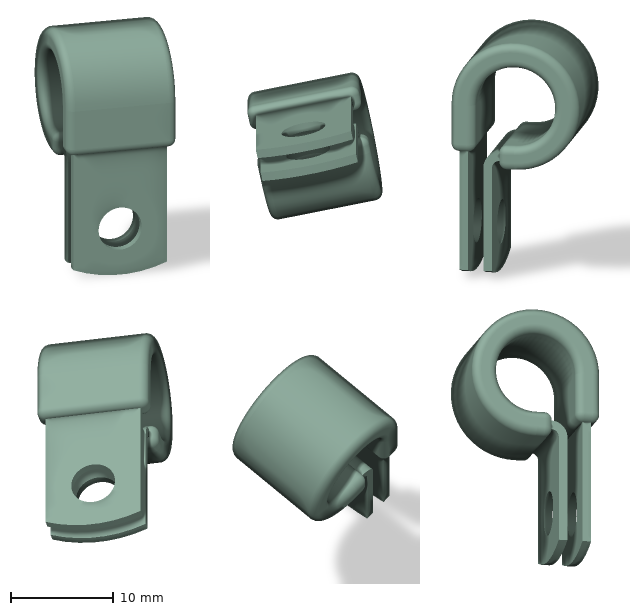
import cadquery as cq
import math


outer_radius = 6.35
cushion_thickness = 2.4
cushion_width = 11.1
cushion_rounding = 0.77
long_end_drop = 4.73
short_end_reach = 1.6
strap_thickness = 0.86
strap_width = 9.5
bottom_depth = 17.65
bend_inner_radius = 0.75
hole_diameter = 4.37
hole_height = 4.78
tip_rise = 0.9

inner_radius = outer_radius - cushion_thickness
middle_radius = (inner_radius + outer_radius) / 2
strap_inner_radius = middle_radius - strap_thickness / 2
strap_outer_radius = middle_radius + strap_thickness / 2
bend_outer_radius = bend_inner_radius + strap_thickness
bend_center_z = -strap_inner_radius - bend_outer_radius
left_leg_outer = short_end_reach + bend_inner_radius
left_leg_inner = short_end_reach + bend_outer_radius
diagonal = math.sqrt(0.5)
tolerance = 2.4e-07


def loop_outline(small_radius, large_radius, right_end_z, bottom_end_x):
    """Three-quarter ring with a straight run at each end, in the XZ plane."""
    return (
        cq.Workplane("XZ")
        .moveTo(large_radius, right_end_z)
        .lineTo(large_radius, 0)
        .threePointArc((-large_radius * diagonal, large_radius * diagonal), (0, -large_radius))
        .lineTo(bottom_end_x, -large_radius)
        .lineTo(bottom_end_x, -small_radius)
        .lineTo(0, -small_radius)
        .threePointArc((-small_radius * diagonal, small_radius * diagonal), (small_radius, 0))
        .lineTo(small_radius, right_end_z)
        .close()
    )


def make_cushion():
    """Thick loop with its side outlines and both end faces rounded."""
    outline = loop_outline(inner_radius, outer_radius, -long_end_drop, short_end_reach)
    block = outline.extrude(cushion_width / 2, both=True).clean()
    side_edges = block.faces("<Y or >Y").edges().vals()
    end_corners = [
        edge
        for edge in block.edges("|Y").vals()
        if math.isclose(edge.Center().x, short_end_reach, abs_tol=tolerance)
        or math.isclose(edge.Center().z, -long_end_drop, abs_tol=tolerance)
    ]
    return block.newObject(side_edges + end_corners).fillet(cushion_rounding)


def make_strap():
    """Strap core inside the cushion, the bend, and both legs with square ends."""
    loop = loop_outline(strap_inner_radius, strap_outer_radius, -bottom_depth, short_end_reach)
    bend_and_leg = (
        cq.Workplane("XZ")
        .moveTo(short_end_reach, -strap_inner_radius)
        .threePointArc(
            (short_end_reach + bend_outer_radius * diagonal, bend_center_z + bend_outer_radius * diagonal),
            (left_leg_inner, bend_center_z),
        )
        .lineTo(left_leg_inner, -bottom_depth)
        .lineTo(left_leg_outer, -bottom_depth)
        .lineTo(left_leg_outer, bend_center_z)
        .threePointArc(
            (short_end_reach + bend_inner_radius * diagonal, bend_center_z + bend_inner_radius * diagonal),
            (short_end_reach, -strap_outer_radius),
        )
        .close()
    )
    half_width = strap_width / 2
    return loop.extrude(half_width, both=True).union(bend_and_leg.extrude(half_width, both=True))


def make_leg_envelope():
    """Block around the whole strap with the curved lower end of the legs."""
    half_width = strap_width / 2
    return (
        cq.Workplane("YZ")
        .moveTo(-half_width, outer_radius)
        .lineTo(-half_width, tip_rise - bottom_depth)
        .threePointArc((0, -bottom_depth), (half_width, tip_rise - bottom_depth))
        .lineTo(half_width, outer_radius)
        .close()
        .extrude(outer_radius, both=True)
    )


def make_mounting_hole():
    """Cylinder along X that passes through both legs."""
    return (
        cq.Workplane("YZ")
        .center(0, hole_height - bottom_depth)
        .circle(hole_diameter / 2)
        .extrude(outer_radius, both=True)
    )


strap = make_strap().intersect(make_leg_envelope()).cut(make_mounting_hole())
result = make_cushion().union(strap)